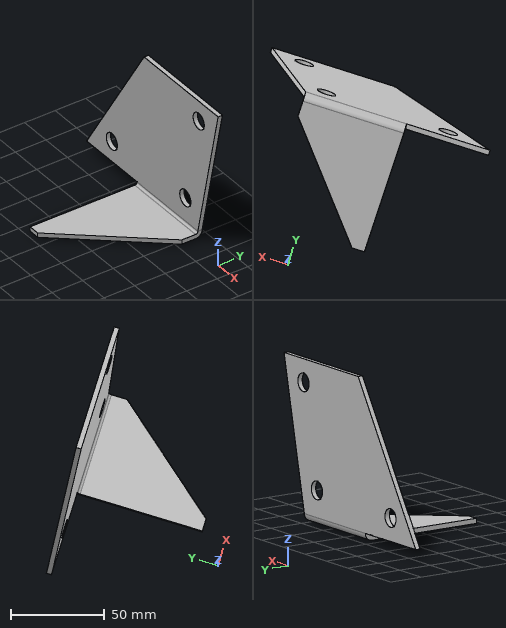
import cadquery as cq

thickness = 3.0
inner_bend_radius = 1.5
outer_bend_radius = inner_bend_radius + thickness

length = 123.0
depth = 73.0
height = 89.5

top_left_x = 53.8
bottom_right_x = 104.1
plate_height = height - outer_bend_radius

hole_diameter = 10.2
hole_centres = [(23.6, 13.0), (92.3, 15.0), (104.8, 72.1)]

tab_width = 57.0
tab_tip_width = 7.3
tab_short_side = 13.4
tab_left_x = bottom_right_x - tab_width


def make_plate():
    """Upright plate with its back face at Y = 0 and lower edge at Z = 0."""
    outline = [
        (0, 0),
        (bottom_right_x, 0),
        (length, plate_height),
        (top_left_x, plate_height),
    ]
    plate = cq.Workplane("XZ").polyline(outline).close().extrude(thickness)
    holes = (
        cq.Workplane("XZ")
        .pushPoints(hole_centres)
        .circle(hole_diameter / 2)
        .extrude(thickness)
    )
    return plate.cut(holes)


def make_bend():
    """Quarter-round bend joining the plate to the tab."""
    return (
        cq.Workplane("YZ", origin=(tab_left_x, 0, 0))
        .moveTo(-thickness, 0)
        .lineTo(0, 0)
        .radiusArc((-outer_bend_radius, -outer_bend_radius), outer_bend_radius)
        .lineTo(-outer_bend_radius, -inner_bend_radius)
        .radiusArc((-thickness, 0), -inner_bend_radius)
        .close()
        .extrude(tab_width)
    )


def make_tab():
    """Tab narrowing to a short tip at the front."""
    outline = [
        (tab_left_x, -outer_bend_radius),
        (tab_left_x, -depth),
        (tab_left_x + tab_tip_width, -depth),
        (bottom_right_x, -tab_short_side),
        (bottom_right_x, -outer_bend_radius),
    ]
    return (
        cq.Workplane("XY", origin=(0, 0, -outer_bend_radius))
        .polyline(outline)
        .close()
        .extrude(thickness)
    )


result = make_plate().union(make_bend()).union(make_tab())